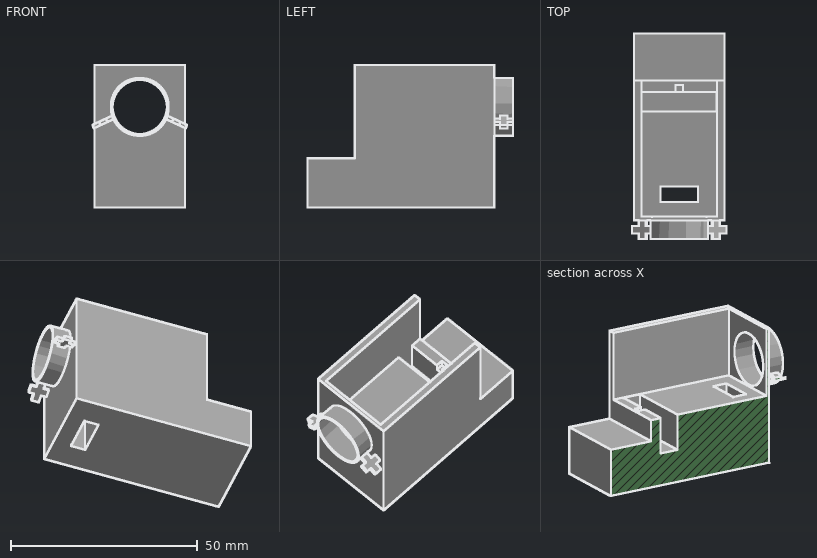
import cadquery as cq
import math

body_width = 24.3
body_length = 50.0
body_height = 38.2
step_length = 12.65
step_height = 13.25

side_wall = 2.05
front_wall = 1.0
floor_height = 19.25
bay_width = body_width - 2 * side_wall
step_y = body_length - step_length

slot_end_gap = 0.2
slot_length = 5.2
slot_depth = 10.0
slot_rear_y = body_length - 15.75
notch_size = 1.9
notch_depth = 2.0
window_width = 10.0
window_length = 4.05
window_front_y = 4.95

tube_length = 55 - body_length
tube_outer_diameter = 15.5
tube_inner_diameter = 14.5
tube_z = 26.95

total_width = 25.35
tab_angle = 25
tab_thickness = 1.0
tab_arm_width = 2.05
tab_tip_length = 2.0
tab_angle_rad = math.radians(tab_angle)
tab_reach = (total_width / 2 - tab_thickness * math.sin(tab_angle_rad)) / math.cos(tab_angle_rad)
tab_root = (tube_inner_diameter + tube_outer_diameter) / 4


def box(x_min, y_min, z_min, width, length, height):
    """Box placed by its minimum corner."""
    return cq.Workplane("XY").box(width, length, height, centered=False).translate((x_min, y_min, z_min))


def centred_box(y_min, z_min, width, length, height):
    """Box centred on X and placed by its front and bottom faces."""
    return box(-width / 2, y_min, z_min, width, length, height)


def front_cylinder(diameter, length):
    """Cylinder on the tube axis that starts at the tube's front end."""
    front = cq.Workplane("XZ", origin=(0, -tube_length, tube_z))
    return front.circle(diameter / 2).extrude(-length)


def stepped_block():
    tall_section = centred_box(0, 0, body_width, step_y, body_height)
    rear_step = centred_box(step_y, 0, body_width, step_length, step_height)
    return tall_section.union(rear_step)


def bay():
    return centred_box(front_wall, floor_height, bay_width, step_y - front_wall, body_height - floor_height)


def floor_slot():
    return box(
        -bay_width / 2,
        slot_rear_y - slot_length,
        floor_height - slot_depth,
        bay_width - slot_end_gap,
        slot_length,
        slot_depth,
    )


def floor_notch():
    return centred_box(slot_rear_y, floor_height - notch_depth, notch_size, notch_size, notch_depth)


def floor_window():
    return centred_box(window_front_y, 0, window_width, window_length, floor_height)


def right_tab():
    radial_arm = box(
        tab_root, -(tube_length + tab_arm_width) / 2, 0, tab_reach - tab_root, tab_arm_width, tab_thickness
    )
    cross_arm_x = tab_reach - tab_tip_length - tab_arm_width
    cross_arm = box(cross_arm_x, -tube_length, 0, tab_arm_width, tube_length, tab_thickness)
    tab = radial_arm.union(cross_arm)
    return tab.rotate((0, 0, 0), (0, 1, 0), tab_angle).translate((0, 0, tube_z))


result = stepped_block()
for recess in (bay(), floor_slot(), floor_notch(), floor_window()):
    result = result.cut(recess)

result = result.union(front_cylinder(tube_outer_diameter, tube_length))
tab = right_tab()
result = result.union(tab).union(tab.mirror("YZ"))
result = result.cut(front_cylinder(tube_inner_diameter, tube_length + front_wall))